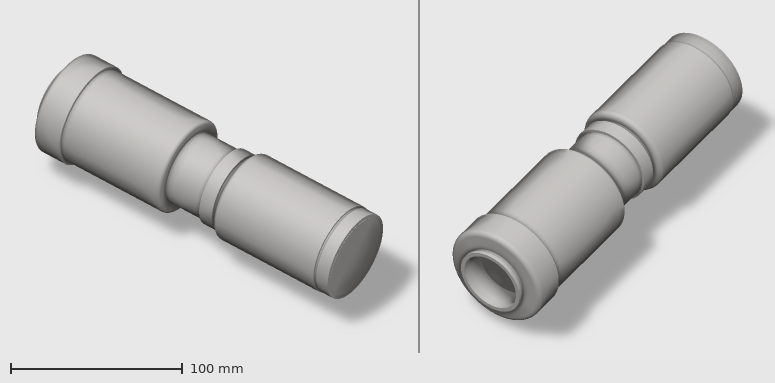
import cadquery as cq

TOTAL_LENGTH = 214.13

LIP_RADIUS = 21.0
LIP_LENGTH = 2.0
TAPER_FRONT_RADIUS = 20.9
TAPER_END = 3.7
TAPER_BACK_RADIUS = 20.25
NECK_START = 4.0
NECK_RADIUS = 20.1
BORE_RADIUS = 18.5
BORE_DEPTH = 15.5

COLLAR_START = 5.0
COLLAR_END = 24.0
COLLAR_RADIUS = 32.0
COLLAR_ROUND = 3.0
BARREL_END = 94.0
BARREL_RADIUS = 30.0
BARREL_ROUND = 2.0

WAIST_RADIUS = 23.0
RING_START = 119.5
RING_LENGTH = 9.0
RING_RADIUS = 24.8

GRIP_START = 131.3
GRIP_RADIUS = 28.0
GRIP_ROUND = 3.0
GROOVE_START = 203.9
GROOVE_WIDTH = 0.9
GROOVE_RADIUS = 26.8
CAP_BEVEL_LENGTH = 1.0
CAP_RADIUS = 27.5
CAP_END = 214.0
END_DISC_RADIUS = 25.0


def cylinder(start, end, radius):
    """Solid cylinder along X between two stations."""
    return cq.Workplane("YZ", origin=(start, 0, 0)).circle(radius).extrude(end - start)


def turned(profile):
    """Solid of revolution about X from (x, radius) points that run front to back."""
    first_x = profile[0][0]
    last_x = profile[-1][0]
    outline = [(first_x, 0)] + profile + [(last_x, 0)]
    return cq.Workplane("XY").polyline(outline).close().revolve(360, (0, 0, 0), (1, 0, 0))


def front_lip():
    """Thin flange with a taper behind it and a stepped neck running into the collar."""
    return turned([
        (0, LIP_RADIUS),
        (LIP_LENGTH, LIP_RADIUS),
        (LIP_LENGTH, TAPER_FRONT_RADIUS),
        (TAPER_END, TAPER_BACK_RADIUS),
        (NECK_START, TAPER_BACK_RADIUS),
        (NECK_START, NECK_RADIUS),
        (COLLAR_START, NECK_RADIUS),
    ])


def barrel():
    """Wide front barrel with its rounded collar."""
    collar = cylinder(COLLAR_START, COLLAR_END, COLLAR_RADIUS).faces("<X").edges().fillet(COLLAR_ROUND)
    tube = cylinder(COLLAR_END, BARREL_END, BARREL_RADIUS).faces(">X").edges().fillet(BARREL_ROUND)
    return collar.union(tube)


def waist():
    """Narrow connection carrying the ring."""
    ring = cylinder(RING_START, RING_START + RING_LENGTH, RING_RADIUS)
    return cylinder(BARREL_END, GRIP_START, WAIST_RADIUS).union(ring)


def grip():
    """Rear grip with a rounded front edge."""
    return cylinder(GRIP_START, GROOVE_START, GRIP_RADIUS).faces("<X").edges().fillet(GRIP_ROUND)


def end_cap():
    """Shallow groove, then a cap with a bevelled front edge and a slightly raised end face."""
    bevel_start = GROOVE_START + GROOVE_WIDTH
    return turned([
        (GROOVE_START, GROOVE_RADIUS),
        (bevel_start, GROOVE_RADIUS),
        (bevel_start + CAP_BEVEL_LENGTH, CAP_RADIUS),
        (CAP_END, CAP_RADIUS),
        (CAP_END, END_DISC_RADIUS),
        (TOTAL_LENGTH, END_DISC_RADIUS),
    ])


bore = cylinder(0, BORE_DEPTH, BORE_RADIUS)
result = front_lip().union(barrel()).union(waist()).union(grip()).union(end_cap()).cut(bore)